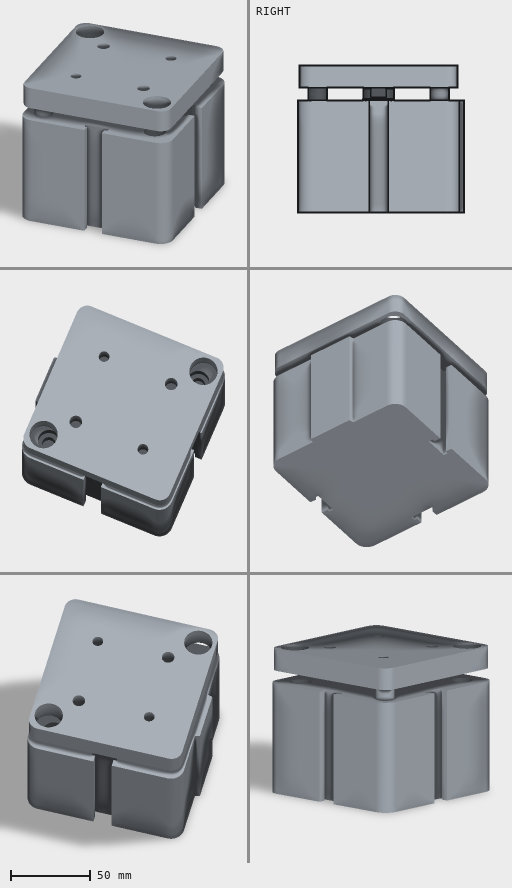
import cadquery as cq


total_height = 93.0

housing_width = 102.0
housing_depth = 105.0
rail_root_width = 31.9
rail_crest_width = 30.5
housing_height = 71.0
housing_corner_radius = 8.5

slot_width = 12.0
slot_lip = 4.5
slot_undercut_width = 16.0
slot_depth = 7.6

bolt_hole_offset = 36.0
bolt_hole_diameter = 8.5
bolt_recess_diameter = 14.0
bolt_recess_depth = 8.0
bolt_hole_depth = 16.0

plate_width = 100.0
plate_thickness = 14.1
plate_corner_radius = 7.0
plate_bottom = total_height - plate_thickness
gap = plate_bottom - housing_height

guide_rod_diameter = 12.0
guide_rod_offset = 38.5

piston_diameter = 19.5
piston_chamfer_height = 0.5
piston_chamfer_inset = 0.2
collar_diameter = 20.0
collar_rim_height = 0.5
collar_height = 0.9
wrench_flat_width = 17.0
wrench_flat_start = 1.9

access_hole_diameter = 17.8
plate_hole_offset = 23.0
dowel_hole_diameter = 8.0
screw_hole_diameter = 6.8

half_width = housing_width / 2
rail_crest_y = housing_depth - half_width


def opposite_corners(offset, falling):
    """Two points on one diagonal: rear left to front right, or front left to rear right."""
    side = -1 if falling else 1
    return [(offset, side * offset), (-offset, -side * offset)]


def t_slot(turn):
    """Vertical T-slot cutter in the front face, turned about Z."""
    face_y = -half_width
    opening = (
        cq.Workplane("XY")
        .center(0, face_y)
        .rect(slot_width, 2 * slot_depth)
        .extrude(housing_height)
    )
    undercut = (
        cq.Workplane("XY")
        .center(0, face_y + (slot_lip + slot_depth) / 2)
        .rect(slot_undercut_width, slot_depth - slot_lip)
        .extrude(housing_height)
    )
    return opening.union(undercut).rotate((0, 0, 0), (0, 0, 1), turn)


def rear_rail():
    """Slightly tapered rail running the full height of the rear face."""
    return (
        cq.Workplane("XY")
        .moveTo(-rail_root_width / 2, 0)
        .lineTo(-rail_root_width / 2, half_width)
        .lineTo(-rail_crest_width / 2, rail_crest_y)
        .lineTo(rail_crest_width / 2, rail_crest_y)
        .lineTo(rail_root_width / 2, half_width)
        .lineTo(rail_root_width / 2, 0)
        .close()
        .extrude(housing_height)
    )


def bolt_holes(diameter, depth):
    """Round cutters sunk from the housing top at the two bolt positions."""
    return (
        cq.Workplane("XY", origin=(0, 0, housing_height - depth))
        .pushPoints(opposite_corners(bolt_hole_offset, falling=True))
        .circle(diameter / 2)
        .extrude(depth)
    )


def build_housing():
    body = (
        cq.Workplane("XY")
        .rect(housing_width, housing_width)
        .extrude(housing_height)
        .edges("|Z")
        .fillet(housing_corner_radius)
        .union(rear_rail())
    )
    for turn in (-90, 0, 90):
        body = body.cut(t_slot(turn))
    body = body.cut(bolt_holes(bolt_recess_diameter, bolt_recess_depth))
    return body.cut(bolt_holes(bolt_hole_diameter, bolt_hole_depth))


def plate_holes(points, diameter):
    """Round cutters through the full thickness of the plate."""
    return (
        cq.Workplane("XY", origin=(0, 0, plate_bottom))
        .pushPoints(points)
        .circle(diameter / 2)
        .extrude(plate_thickness)
    )


def build_plate():
    plate = (
        cq.Workplane("XY", origin=(0, 0, plate_bottom))
        .rect(plate_width, plate_width)
        .extrude(plate_thickness)
        .edges("|Z")
        .fillet(plate_corner_radius)
    )
    access_points = opposite_corners(guide_rod_offset, falling=True)
    dowel_points = opposite_corners(plate_hole_offset, falling=True)
    screw_points = opposite_corners(plate_hole_offset, falling=False)
    plate = plate.cut(plate_holes(access_points, access_hole_diameter))
    plate = plate.cut(plate_holes(dowel_points, dowel_hole_diameter))
    return plate.cut(plate_holes(screw_points, screw_hole_diameter))


def build_guide_rods():
    return (
        cq.Workplane("XY", origin=(0, 0, housing_height))
        .pushPoints(opposite_corners(guide_rod_offset, falling=False))
        .circle(guide_rod_diameter / 2)
        .extrude(gap)
    )


def build_piston():
    """Turned piston rod with a collar at its foot and two wrench flats facing -X and +X."""
    rod_radius = piston_diameter / 2
    collar_radius = collar_diameter / 2
    turned = (
        cq.Workplane("XZ", origin=(0, 0, housing_height))
        .lineTo(collar_radius, 0)
        .lineTo(collar_radius, collar_rim_height)
        .lineTo(rod_radius, collar_height)
        .lineTo(rod_radius, gap - piston_chamfer_height)
        .lineTo(rod_radius - piston_chamfer_inset, gap)
        .lineTo(0, gap)
        .close()
        .revolve(360, (0, 0, 0), (0, 1, 0))
    )
    between_flats = (
        cq.Workplane("XY", origin=(0, 0, housing_height + wrench_flat_start))
        .rect(wrench_flat_width, collar_diameter)
        .extrude(gap - wrench_flat_start)
    )
    foot = (
        cq.Workplane("XY", origin=(0, 0, housing_height))
        .rect(collar_diameter, collar_diameter)
        .extrude(wrench_flat_start)
    )
    return turned.intersect(foot.union(between_flats))


def build_carriage():
    return build_plate().union(build_guide_rods()).union(build_piston())


housing = build_housing()
carriage = build_carriage()

result = cq.Compound.makeCompound([housing.val(), carriage.val()])